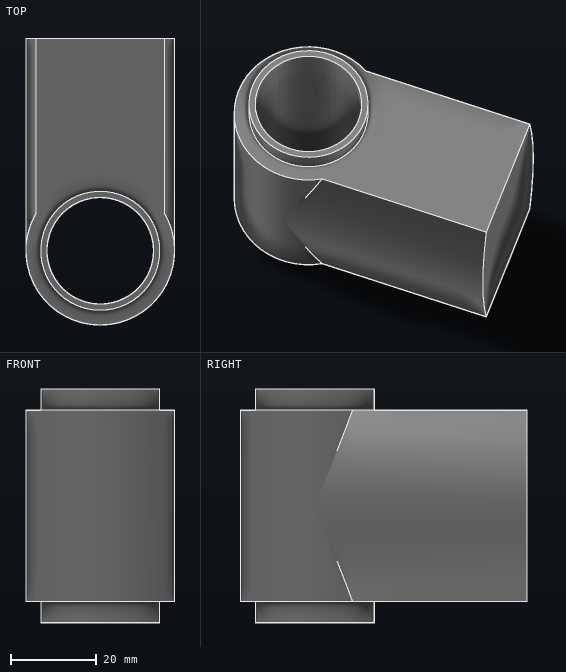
import cadquery as cq

barrel_diameter = 35.0
barrel_height = 45.05

sleeve_diameter = 28.0
sleeve_height = 55.0
bore_diameter = 25.0

overall_length = 67.45
arm_edge_width = 30.15

barrel_radius = barrel_diameter / 2
arm_length = overall_length - barrel_radius


def centred_cylinder(diameter, height):
    """Vertical cylinder centred on the origin."""
    return cq.Workplane("XY").circle(diameter / 2).extrude(height / 2, both=True)


def bulged_arm():
    """Arm with flat top and bottom and convex arc sides."""
    half_edge = arm_edge_width / 2
    half_height = barrel_height / 2
    return (
        cq.Workplane("XZ")
        .moveTo(-half_edge, -half_height)
        .lineTo(half_edge, -half_height)
        .threePointArc((barrel_radius, 0), (half_edge, half_height))
        .lineTo(-half_edge, half_height)
        .threePointArc((-barrel_radius, 0), (-half_edge, -half_height))
        .close()
        .extrude(-arm_length)
    )


barrel = centred_cylinder(barrel_diameter, barrel_height)
sleeve = centred_cylinder(sleeve_diameter, sleeve_height)
bore = centred_cylinder(bore_diameter, sleeve_height)

result = barrel.union(bulged_arm()).union(sleeve).cut(bore)